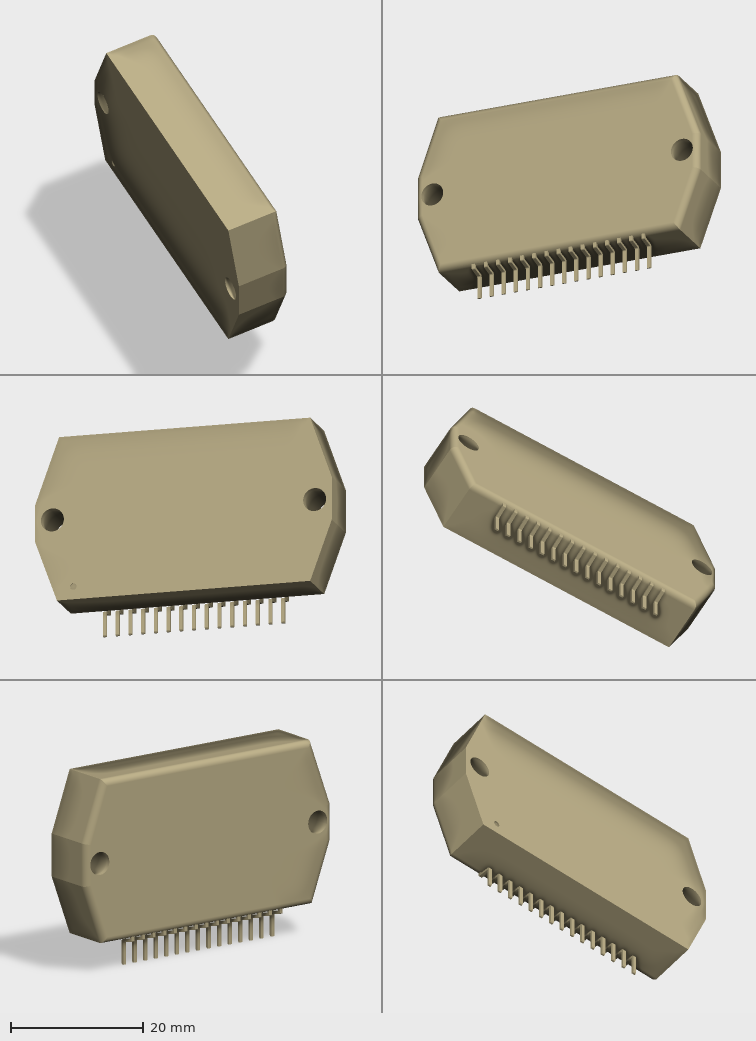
import cadquery as cq
import math

body_width = 46.6
body_depth = 8.5
body_height = 25.6
back_edge_radius = 1.0
half_width = body_width / 2

lower_cut_x = 3.4
lower_cut_z = 9.35
upper_right_cut_x = 3.4
upper_right_cut_z = 9.55
upper_left_cut_x = 3.75
upper_left_cut_z = 10.35

hole_diameter = 3.6
hole_spacing = 41.2
hole_height = 12.7

mark_diameter = 1.0
mark_depth = 0.2
mark_inset = 6.0
mark_x = -half_width + mark_inset
mark_z = 2.0

pin_count = 15
pin_pitch = 2.0
pin_width = 0.55
pin_thickness = 0.42
pin_length = 4.6
pin_root_depth = 1.2
pin_root_inset = 0.4
pin_root_back_y = body_depth - pin_root_inset
pin_tip_front_y = 5.57
pin_jog_bottom = -0.65
pin_jog_angle = 10.0
root_outer_bend_radius = 0.2
root_inner_bend_radius = 0.2
jog_bend_inner_radius = 0.2
jog_bend_outer_radius = 0.4
tip_chamfer = 0.15


def make_body():
    outline = [
        (-half_width + lower_cut_x, 0),
        (half_width - lower_cut_x, 0),
        (half_width, lower_cut_z),
        (half_width, body_height - upper_right_cut_z),
        (half_width - upper_right_cut_x, body_height),
        (-half_width + upper_left_cut_x, body_height),
        (-half_width, body_height - upper_left_cut_z),
        (-half_width, lower_cut_z),
    ]
    plate = cq.Workplane("XZ").polyline(outline).close().extrude(-body_depth)
    return plate.faces(">Y").edges().fillet(back_edge_radius)


def front_face_cutter(points, diameter, depth):
    return cq.Workplane("XZ").pushPoints(points).circle(diameter / 2).extrude(-depth)


def make_pin():
    """One pin centred on X = 0, drawn as a side profile and extruded across its width."""
    root_front_y = pin_root_back_y - pin_thickness
    tip_back_y = pin_tip_front_y + pin_thickness
    slope = math.tan(math.radians(pin_jog_angle))
    jog_top = pin_jog_bottom + pin_thickness / math.cos(math.radians(pin_jog_angle))

    def below(start_z, y):
        """Height at y of a jog surface that has height start_z at the back of the root."""
        return start_z - slope * (pin_root_back_y - y)

    root_outer_bend = (pin_root_back_y, pin_jog_bottom)
    root_inner_bend = (root_front_y, below(jog_top, root_front_y))
    jog_inner_bend = (tip_back_y, below(pin_jog_bottom, tip_back_y))
    jog_outer_bend = (pin_tip_front_y, below(jog_top, pin_tip_front_y))
    tip_front = (pin_tip_front_y, -pin_length)
    profile = [
        (pin_root_back_y, pin_root_depth),
        root_outer_bend,
        jog_inner_bend,
        (tip_back_y, -pin_length),
        tip_front,
        jog_outer_bend,
        root_inner_bend,
        (root_front_y, pin_root_depth),
    ]
    pin = cq.Workplane("YZ").polyline(profile).close().extrude(pin_width / 2, both=True)

    def edge_at(solid, corner):
        return solid.edges("|X").edges(cq.selectors.NearestToPointSelector((0, *corner)))

    pin = edge_at(pin, root_outer_bend).fillet(root_outer_bend_radius)
    pin = edge_at(pin, root_inner_bend).fillet(root_inner_bend_radius)
    pin = edge_at(pin, jog_inner_bend).fillet(jog_bend_inner_radius)
    pin = edge_at(pin, jog_outer_bend).fillet(jog_bend_outer_radius)
    return edge_at(pin, tip_front).chamfer(tip_chamfer)


def add_pins(body):
    pin = make_pin()
    first_x = -pin_pitch * (pin_count - 1) / 2
    for index in range(pin_count):
        body = body.union(pin.translate((first_x + index * pin_pitch, 0, 0)))
    return body


hole_points = [(side * hole_spacing / 2, hole_height) for side in (-1, 1)]

result = make_body()
result = result.cut(front_face_cutter(hole_points, hole_diameter, body_depth))
result = result.cut(front_face_cutter([(mark_x, mark_z)], mark_diameter, mark_depth))
result = add_pins(result)